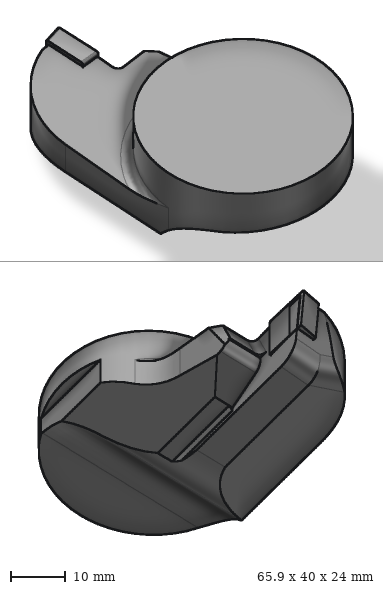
import cadquery as cq
import math


flange_radius = 40.0 / 2
tip_x = flange_radius - 65.9
bottom_z = -24.0
margin = 13.2

arm_top_point = (-25.5, -9.8)
arm_top_tilt = 3.0
neck_fillet = 4.4 / 2

nose_radius = 19.75
nose_centre_x = -25.5
blend_start = (-13.1, 15.1)
blend_middle = (-17.5, 11.9)
blend_end = (-22.4, 10.35)
arm_back_corner = (-35.6, 7.8)

tip_round = 4.4
heel_start_x = -14.5
heel_middle = (-6.45, -20.95)
heel_end = (-1.9, -16.85)
throat_middle = (3.1, -12.3)
throat_end = (8.4, -10.4)
flange_bottom_z = -9.4

front_wall_bottom_z = -16.85
keel_front_y = -6.3
seat_y = 0.25
keel_step_z = -22.8
keel_bevel = 0.8
back_bottom_z = keel_step_z + keel_bevel
back_chamfer_start_y = 4.35
back_wall_y = 18.0
back_wall_bottom_z = -12.5
flange_step_z = -5.9

side_relief = -0.06
down_relief = -0.1
relief_x = -45.7

pocket_x = -31.1
pocket_top_z = -9.35
pocket_lean = 20.5
pocket_corner_radius = 1.45
pocket_chamfer_y = 7.3
pocket_chamfer_run = 1.9
pocket_chamfer_rise = 1.7
under_round_start = (-33.1, -15.5)
under_round_middle = (-33.05, -17.25)
under_round_end = (-31.95, -18.65)
under_slope_end_x = -25.0

insert_top_z = -7.85
insert_bottom_z = -17.2
insert_back_x = -36.2
insert_rake_drop = 0.5
insert_relief_x = -46.7
insert_side_relief = -0.17
insert_floor_drop = 0.45
insert_edge_radius = 0.5
insert_blank_x = -47.4
insert_outline = [
    (insert_blank_x, 0.0),
    (insert_back_x, 0.5),
    (insert_back_x - 0.1, -3.5),
    (insert_blank_x, -3.95),
]


def along_y(sketch):
    """Extrude an XZ sketch right across the part."""
    return sketch.extrude(flange_radius + margin, both=True)


def make_plan():
    """Full-height prism of the arm, joined to the round flange."""
    nose_centre_y = nose_radius - flange_radius
    nose_back = (nose_centre_x - nose_radius, nose_centre_y)
    diagonal = nose_radius * math.sqrt(0.5)
    arm = (
        cq.Workplane("XY")
        .moveTo(0, -flange_radius)
        .lineTo(nose_centre_x, -flange_radius)
        .threePointArc((nose_centre_x - diagonal, nose_centre_y - diagonal), nose_back)
        .lineTo(nose_back[0], arm_back_corner[1])
        .lineTo(*arm_back_corner)
        .lineTo(*blend_end)
        .threePointArc(blend_middle, blend_start)
        .lineTo(0, 0)
        .close()
        .extrude(bottom_z)
    )
    return arm.union(cq.Workplane("XY").circle(flange_radius).extrude(bottom_z))


def make_neck():
    """Oversize tilted slab and flange cylinder with the fillet between them."""
    span = 4 * abs(tip_x)
    slab = (
        cq.Workplane("XY")
        .box(span, span, span, centered=(True, True, False))
        .translate((0, 0, -span))
        .rotate((0, 0, 0), (0, 1, 0), arm_top_tilt)
        .translate((arm_top_point[0], 0, arm_top_point[1]))
    )
    flange = cq.Workplane("XY").circle(flange_radius).extrude(2 * bottom_z)
    ring = cq.selectors.BoxSelector(
        (-flange_radius - 0.65, -flange_radius - 0.65, bottom_z),
        (flange_radius + 0.65, flange_radius + 0.65, -0.65),
        boundingbox=True,
    )
    return slab.union(flange).edges(ring).fillet(neck_fillet)


def make_underside():
    """Side profile with the heel, the throat and the flange's lower face."""
    return along_y(
        cq.Workplane("XZ")
        .moveTo(tip_x, 0)
        .lineTo(tip_x, bottom_z)
        .lineTo(heel_start_x, bottom_z)
        .threePointArc(heel_middle, heel_end)
        .threePointArc(throat_middle, throat_end)
        .lineTo(flange_radius, flange_bottom_z)
        .lineTo(flange_radius, 0)
        .close()
    )


def make_cross_section():
    """Section along X with both lower chamfers, the keel and the back wall."""
    return (
        cq.Workplane("YZ")
        .polyline(
            [
                (-flange_radius, 0),
                (-flange_radius, front_wall_bottom_z),
                (keel_front_y, bottom_z),
                (seat_y, bottom_z),
                (seat_y, keel_step_z),
                (seat_y + keel_bevel, back_bottom_z),
                (back_chamfer_start_y, back_bottom_z),
                (back_wall_y, back_wall_bottom_z),
                (back_wall_y, flange_step_z),
                (flange_radius, flange_step_z),
                (flange_radius, 0),
            ]
        )
        .close()
        .extrude(abs(tip_x) + margin, both=True)
    )


def make_relief(start_x, side_slope):
    """Material beyond the inclined plane x = start_x + side_slope * y + down_relief * z."""
    plane = cq.Plane(
        origin=(start_x, 0, 0),
        xDir=(side_slope, 1, 0),
        normal=(-1, side_slope, down_relief),
    )
    return cq.Workplane(plane).rect(4 * flange_radius, 4 * flange_radius).extrude(margin)


def make_core():
    """Profiled block with its relieved tip rounded into the keel and the front chamfer."""
    block = make_underside().intersect(make_cross_section()).cut(make_relief(relief_x, side_relief))
    keel_tip_x = relief_x + down_relief * bottom_z
    keel_edge = (keel_tip_x, (keel_front_y + seat_y) / 2, bottom_z)
    chamfer_edge = (
        keel_tip_x,
        (keel_front_y - flange_radius) / 2,
        (bottom_z + front_wall_bottom_z) / 2,
    )
    near = cq.selectors.NearestToPointSelector
    return block.edges(near(keel_edge) + near(chamfer_edge)).fillet(tip_round)


def make_pocket():
    """Leaning pocket with a rounded inner corner and a chamfered outer corner."""
    depth = 2 * abs(bottom_z)
    far_x = -2 * margin
    far_y = pocket_chamfer_y + 2 * pocket_chamfer_rise
    far_run = 2 * pocket_chamfer_run
    return (
        cq.Workplane("XY")
        .polyline(
            [(far_x, seat_y), (0, seat_y), (0, pocket_chamfer_y), (far_run, far_y), (far_x, far_y)]
        )
        .close()
        .extrude(depth / 2, both=True)
        .edges(cq.selectors.NearestToPointSelector((0, seat_y, 0)))
        .fillet(pocket_corner_radius)
        .rotate((0, 0, 0), (0, 1, 0), pocket_lean)
        .translate((pocket_x, 0, pocket_top_z))
    )


def make_pocket_underside():
    """Rounded and sloped relief below the pocket wall, behind the insert seat."""
    return (
        cq.Workplane("XZ", origin=(0, seat_y, 0))
        .moveTo(tip_x, under_round_start[1])
        .lineTo(*under_round_start)
        .threePointArc(under_round_middle, under_round_end)
        .lineTo(under_slope_end_x, back_bottom_z)
        .lineTo(under_slope_end_x, bottom_z)
        .lineTo(tip_x, bottom_z)
        .close()
        .extrude(-flange_radius)
    )


def make_insert():
    """Small block whose relieved front face forms the cutting tip."""
    back_top_z = insert_top_z - insert_rake_drop
    profile = along_y(
        cq.Workplane("XZ")
        .polyline(
            [
                (insert_blank_x, insert_top_z),
                (insert_back_x, back_top_z),
                (insert_back_x, insert_bottom_z - insert_floor_drop),
                (insert_blank_x, insert_bottom_z),
            ]
        )
        .close()
    )
    plan = cq.Workplane("XY").polyline(insert_outline).close().extrude(bottom_z)
    block = profile.intersect(plan).cut(make_relief(insert_relief_x, insert_side_relief))
    middle_y = (insert_outline[0][1] + insert_outline[-1][1]) / 2
    near = cq.selectors.NearestToPointSelector
    tip_edge = near((tip_x, middle_y, insert_top_z))
    back_edge = near((insert_back_x, middle_y, back_top_z))
    return block.edges(tip_edge + back_edge).fillet(insert_edge_radius)


def make_holder(insert):
    """Flange and arm, with the insert's recess cut out."""
    return (
        make_plan()
        .intersect(make_neck())
        .intersect(make_core())
        .cut(make_pocket())
        .cut(make_pocket_underside())
        .cut(insert)
    )


insert = make_insert()
holder = make_holder(insert)

result = cq.Compound.makeCompound([holder.val(), insert.val()])